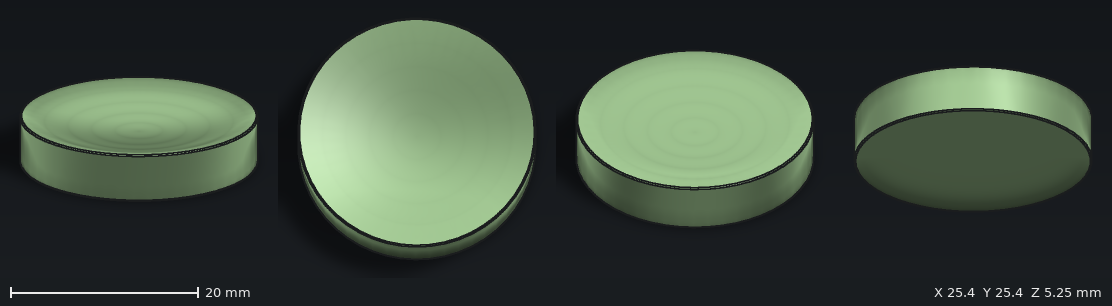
import cadquery as cq
import math

diameter = 25.4
edge_height = 5.25
bevel = 0.15
hollow_depth = 1.75

radius = diameter / 2
rim_radius = radius - bevel
hollow_bottom = edge_height - hollow_depth

sphere_radius = (rim_radius**2 + hollow_depth**2) / (2 * hollow_depth)
half_angle = math.asin(rim_radius / sphere_radius) / 2
arc_middle = (
    sphere_radius * math.sin(half_angle),
    hollow_bottom + sphere_radius * (1 - math.cos(half_angle)),
)

half_section = (
    cq.Workplane(cq.Plane(origin=(0, 0, 0), xDir=(0, -1, 0), normal=(-1, 0, 0)))
    .moveTo(0, 0)
    .lineTo(rim_radius, 0)
    .lineTo(radius, bevel)
    .lineTo(radius, edge_height - bevel)
    .lineTo(rim_radius, edge_height)
    .threePointArc(arc_middle, (0, hollow_bottom))
    .close()
)

result = half_section.revolve(360, (0, 0), (0, 1))